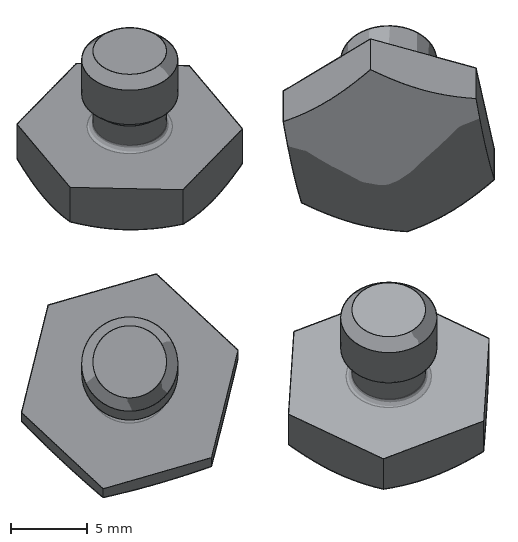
import cadquery as cq
import math

total_height = 13.49
across_flats = 12.7
across_corners = across_flats / math.cos(math.radians(30))
point_half_angle = 60.0

stud_height = 6.35
stud_radius = 3.125
neck_radius = 2.39
neck_fillet = 0.38
bevel = stud_radius - neck_radius
shoulder_height = 2.0

head_height = total_height - stud_height


def make_head():
    """Hexagonal prism, corners along Y, cut to a cone that ends in a sharp point."""
    prism = (
        cq.Workplane("XY")
        .polygon(6, across_corners)
        .extrude(-head_height)
        .rotate((0, 0, 0), (0, 0, 1), 90)
    )
    cone_radius = head_height * math.tan(math.radians(point_half_angle))
    cone = (
        cq.Workplane("XZ")
        .moveTo(0, -head_height)
        .lineTo(cone_radius, 0)
        .lineTo(0, 0)
        .close()
        .revolve(360, (0, 0, 0), (0, 1, 0))
    )
    return prism.intersect(cone)


def make_stud():
    """Bevelled stud on a narrower neck, with a concave fillet down to the head."""
    arc_center_x = neck_radius + neck_fillet
    arc_offset = neck_fillet * math.cos(math.radians(45))
    return (
        cq.Workplane("XZ")
        .lineTo(arc_center_x, 0)
        .threePointArc(
            (arc_center_x - arc_offset, neck_fillet - arc_offset),
            (neck_radius, neck_fillet),
        )
        .lineTo(neck_radius, shoulder_height)
        .lineTo(stud_radius, shoulder_height + bevel)
        .lineTo(stud_radius, stud_height - bevel)
        .lineTo(stud_radius - bevel, stud_height)
        .lineTo(0, stud_height)
        .close()
        .revolve(360, (0, 0, 0), (0, 1, 0))
    )


result = make_head().union(make_stud())